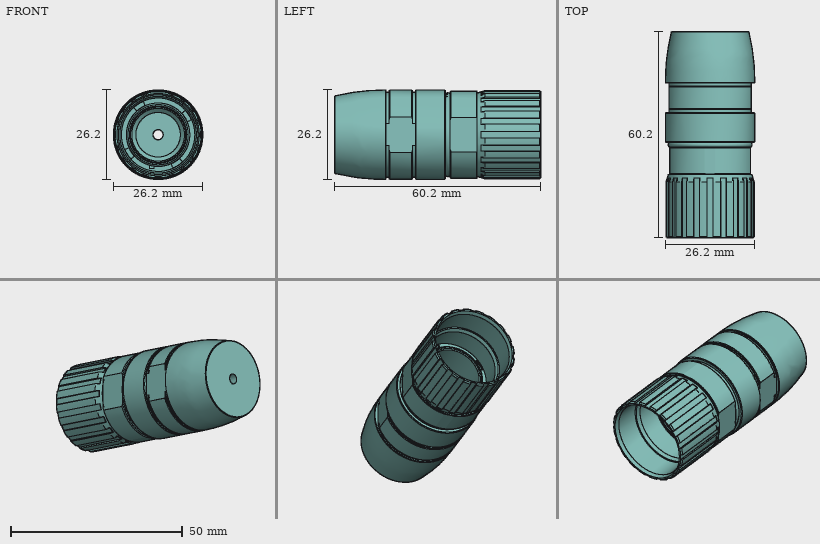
import cadquery as cq
import math

length = 60.2
outer_radius = 13.09

nut_radius = 12.95
nut_front_chamfer = 0.4
nut_rim_drop = 0.35
nut_shoulder_y = 16.25
nut_back_y = 18.55
nut_back_radius = 12.2
knurl_count = 20
knurl_floor_radius = 12.4
knurl_width = 1.8
knurl_back_y = 17.5

collar_back_y = 26.5
collar_radius = 12.8
collar_front_chamfer = 0.2
collar_back_chamfer = 0.3
collar_side_flat = 11.8
collar_top_flat_width = 3.05

seal_radius = 12.3
seal_edge_radius = 12.0

middle_front_y = 27.8
middle_back_y = 36.6
spanner_front_y = 37.45
spanner_back_y = 44.25
cap_front_y = 45.15
ring_chamfer = 0.25
neck_radius = 12.45
spanner_side_flat = 12.05

cap_mid_y = 52.95
cap_mid_radius = 12.65
cap_back_radius = 11.4
cap_edge = 0.2

mouth_radius = 12.05
mouth_depth = 1.2
front_bore_radius = 11.6
ledge_y = 8.8
ledge_radius = 11.2
throat_y = 9.95
throat_radius = 10.7
cavity_y = 16.85

sleeve_front_y = 15.65
sleeve_radius = 9.25
sleeve_chamfer = 0.5
sleeve_lead_in = 0.3
sleeve_bore_radius = 8.05
socket_cone_y = 26.5
socket_cone_radius = 7.7
socket_floor_y = 27.8
socket_floor_radius = 6.5
cable_hole_radius = 1.45

notch_count = 4
notch_first_angle = 33.0
notch_span = 18.0
notch_depth = 0.6
notch_margin = 0.05

key_center_x = -1.8
key_width = 1.3
key_outer_z = -9.9

overlap = 0.6


def revolve(profile):
    """Close a (radius, y) outline and turn it about the Y axis."""
    return profile.close().revolve(360, (0, 0, 0), (0, 1, 0))


def turned(points):
    """Turn a closed outline of (radius, y) corners about the Y axis."""
    return revolve(cq.Workplane("XY").polyline(points))


def ring(front_y, back_y, radius, front_chamfer=0, back_chamfer=0):
    """Solid disc along Y with an optional chamfer on either rim."""
    disc = turned([(0, front_y), (radius, front_y), (radius, back_y), (0, back_y)])
    if front_chamfer:
        disc = disc.faces("<Y").edges().chamfer(front_chamfer)
    if back_chamfer:
        disc = disc.faces(">Y").edges().chamfer(back_chamfer)
    return disc


def block(x_range, y_range, z_range):
    """Axis-aligned box between the given limits."""
    (x0, x1), (y0, y1), (z0, z1) = x_range, y_range, z_range
    return cq.Workplane("XY").box(x1 - x0, y1 - y0, z1 - z0, centered=False).translate((x0, y0, z0))


def across_flats(front_y, back_y, half_x, half_z):
    """Envelope that trims a turned section to its flats."""
    return block((-half_x, half_x), (front_y, back_y), (-half_z, half_z))


def coupling_nut():
    nut = revolve(
        cq.Workplane("XY")
        .moveTo(0, 0)
        .lineTo(nut_radius - nut_rim_drop, 0)
        .lineTo(nut_radius, nut_front_chamfer)
        .lineTo(nut_radius, nut_shoulder_y)
        .lineTo(nut_back_radius, nut_back_y)
        .lineTo(0, nut_back_y)
    )
    groove = block(
        (-knurl_width / 2, knurl_width / 2),
        (-overlap, knurl_back_y),
        (knurl_floor_radius, nut_radius + overlap),
    )
    for i in range(knurl_count):
        nut = nut.cut(groove.rotate((0, 0, 0), (0, 1, 0), i * 360 / knurl_count))
    return nut


def collar():
    top_flat = math.sqrt(collar_radius**2 - (collar_top_flat_width / 2) ** 2)
    body = ring(nut_back_y, collar_back_y, collar_radius, collar_front_chamfer, collar_back_chamfer)
    return body.intersect(across_flats(nut_back_y, collar_back_y, collar_side_flat, top_flat))


def seal():
    """Ring with a rounded outside, between the collar and the middle ring."""
    return revolve(
        cq.Workplane("XY")
        .moveTo(0, collar_back_y)
        .lineTo(seal_edge_radius, collar_back_y)
        .threePointArc(
            (seal_radius, (collar_back_y + middle_front_y) / 2),
            (seal_edge_radius, middle_front_y),
        )
        .lineTo(0, middle_front_y)
    )


def spanner_section():
    necks = ring(middle_back_y, cap_front_y, neck_radius)
    wide = ring(spanner_front_y, spanner_back_y, outer_radius, ring_chamfer, ring_chamfer)
    flats = across_flats(middle_back_y, cap_front_y, spanner_side_flat, outer_radius)
    return necks.union(wide).intersect(flats)


def cable_cap():
    return revolve(
        cq.Workplane("XY")
        .moveTo(0, cap_front_y)
        .lineTo(outer_radius - cap_edge, cap_front_y)
        .lineTo(outer_radius, cap_front_y + cap_edge)
        .threePointArc((cap_mid_radius, cap_mid_y), (cap_back_radius, length - cap_edge))
        .lineTo(cap_back_radius - cap_edge, length)
        .lineTo(0, length)
    )


def cavity():
    """Space inside the nut, with the sleeve left standing in the middle."""
    return turned([
        (0, 0),
        (mouth_radius, 0),
        (front_bore_radius, mouth_depth),
        (front_bore_radius, ledge_y),
        (ledge_radius, ledge_y),
        (throat_radius, throat_y),
        (throat_radius, cavity_y),
        (sleeve_radius, cavity_y),
        (sleeve_radius, sleeve_front_y + sleeve_chamfer),
        (sleeve_radius - sleeve_chamfer, sleeve_front_y),
        (0, sleeve_front_y),
    ])


def socket():
    """Sleeve bore, tapering to a flat floor, and the cable hole behind it."""
    return turned([
        (0, sleeve_front_y),
        (sleeve_bore_radius + sleeve_lead_in, sleeve_front_y),
        (sleeve_bore_radius, sleeve_front_y + sleeve_lead_in),
        (sleeve_bore_radius, socket_cone_y),
        (socket_cone_radius, socket_cone_y),
        (socket_floor_radius, socket_floor_y),
        (cable_hole_radius, socket_floor_y),
        (cable_hole_radius, length),
        (0, length),
    ])


def notches():
    """Shallow ring sectors sunk into the cavity floor around the sleeve."""
    inner = sleeve_radius + notch_margin
    outer = throat_radius - notch_margin
    sector = (
        cq.Workplane("XY")
        .polyline([
            (inner, cavity_y - overlap),
            (outer, cavity_y - overlap),
            (outer, cavity_y + notch_depth),
            (inner, cavity_y + notch_depth),
        ])
        .close()
        .revolve(notch_span, (0, 0, 0), (0, 1, 0))
    )
    first = -(notch_first_angle + notch_span / 2)
    step = 360 / notch_count
    return [sector.rotate((0, 0, 0), (0, 1, 0), first + i * step) for i in range(notch_count)]


def key():
    """Rib along the underside of the sleeve, set off to one side."""
    return block(
        (key_center_x - key_width / 2, key_center_x + key_width / 2),
        (sleeve_front_y + sleeve_chamfer, cavity_y + overlap),
        (key_outer_z, -(sleeve_bore_radius + sleeve_radius) / 2),
    )


result = (
    coupling_nut()
    .union(collar())
    .union(seal())
    .union(ring(middle_front_y, middle_back_y, outer_radius, ring_chamfer, ring_chamfer))
    .union(spanner_section())
    .union(cable_cap())
    .cut(cavity())
    .cut(socket())
)
for notch in notches():
    result = result.cut(notch)
result = result.union(key())